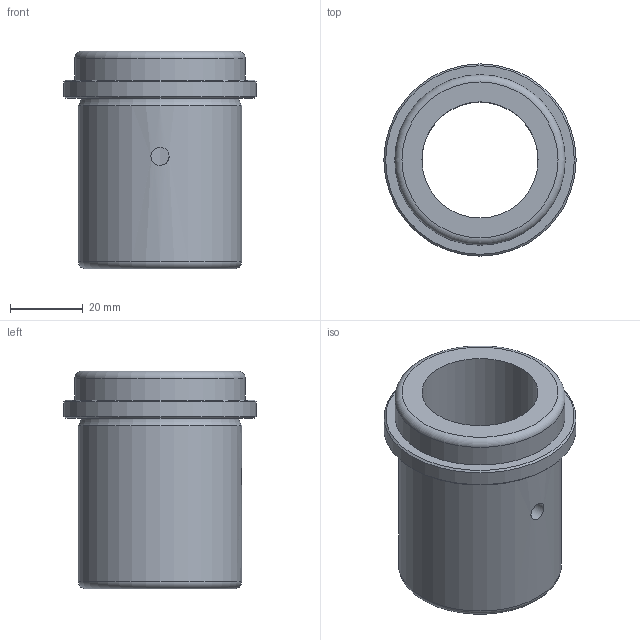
import cadquery as cq
import math

total_height = 60.0
flange_bottom = 47.0
flange_top = 52.0
neck_height = 2.0

bore_diameter = 32.0
body_diameter = 45.0
flange_diameter = 53.0
head_diameter = 47.0

end_radius = 2.0
flange_chamfer = 0.5
neck_depth = 0.7

cross_hole_diameter = 5.0
cross_hole_height = 31.0

body_radius = body_diameter / 2
flange_radius = flange_diameter / 2
head_radius = head_diameter / 2
neck_radius = body_radius - neck_depth
neck_bottom = flange_bottom - neck_height

neck_arc_radius = (neck_height**2 + neck_depth**2) / (2 * neck_depth)
neck_arc_half_angle = math.asin(neck_height / neck_arc_radius) / 2
neck_arc_middle = (
    neck_radius + neck_arc_radius * (1 - math.cos(neck_arc_half_angle)),
    flange_bottom - neck_arc_radius * math.sin(neck_arc_half_angle),
)


def cylinder(radius, bottom, top):
    """Solid cylinder on the Z axis between two heights."""
    return cq.Workplane("XY").workplane(offset=bottom).circle(radius).extrude(top - bottom)


def make_body():
    """Lower barrel with a rounded bottom edge."""
    return cylinder(body_radius, 0, neck_bottom).faces("<Z").edges().fillet(end_radius)


def make_neck():
    """Concave relief that curves in from the barrel and meets the flange parallel to the axis."""
    return (
        cq.Workplane("XZ")
        .moveTo(0, neck_bottom)
        .lineTo(body_radius, neck_bottom)
        .threePointArc(neck_arc_middle, (neck_radius, flange_bottom))
        .lineTo(0, flange_bottom)
        .close()
        .revolve(360, (0, 0, 0), (0, 1, 0))
    )


def make_flange():
    """Locating collar with both rims chamfered."""
    return cylinder(flange_radius, flange_bottom, flange_top).edges().chamfer(flange_chamfer)


def make_head():
    """Upper spigot with a rounded top edge."""
    return cylinder(head_radius, flange_top, total_height).faces(">Z").edges().fillet(end_radius)


def make_cross_hole():
    """Cutter running from the axis out through the -Y wall."""
    return (
        cq.Workplane("XZ")
        .center(0, cross_hole_height)
        .circle(cross_hole_diameter / 2)
        .extrude(body_diameter)
    )


bushing = make_body().union(make_neck()).union(make_flange()).union(make_head())
bushing = bushing.cut(cylinder(bore_diameter / 2, 0, total_height))
result = bushing.cut(make_cross_hole())